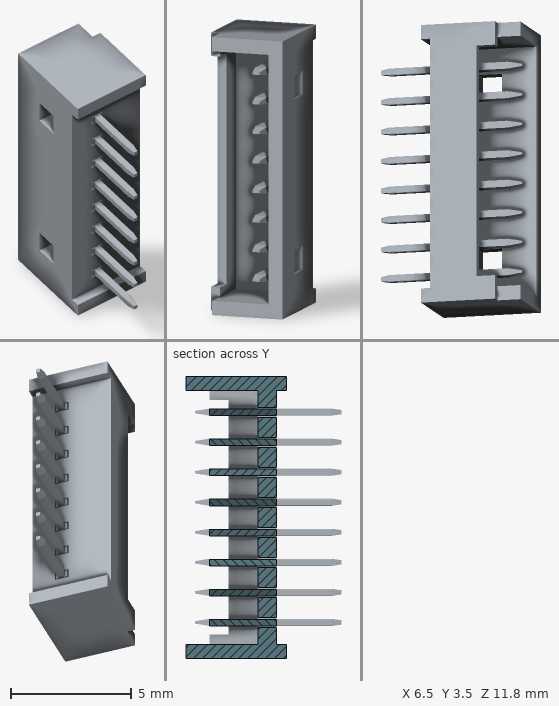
import cadquery as cq


LENGTH = 11.75
WIDTH = 3.5
DEPTH = 4.2
FOOT_HEIGHT = 0.4
END_WALL = 0.6
PLAIN_WALL = 0.62
OPEN_WALL = 0.4
CAVITY_DEPTH = 3.0

RIM_DROP = 1.0
NOTCH_DEPTH = 1.8
NOTCH_MARGIN = 1.0

WINDOW_SIZE = 1.0
WINDOW_START = 1.5
WINDOW_END_DISTANCE = 1.68

PIN_COUNT = 8
PIN_END_DISTANCE = 1.5
PIN_Y = 1.3
PIN_START = 0.4
PIN_END = 6.5
BLADE_TIP_LENGTH = 0.6
TAIL_TIP_LENGTH = 0.4
BLADE_WIDTH = 0.49
BLADE_THICKNESS = 0.29
BLADE_TIP_WIDTH = 0.3
BLADE_TIP_THICKNESS = 0.1
TAIL_SIDE = 0.29
TAIL_TIP_SIDE = 0.18
TAIL_CHAMFER = 0.02
PIN_CLEARANCE = 0.053

BACK_X = DEPTH - FOOT_HEIGHT
WINDOW_Z = LENGTH / 2 - WINDOW_END_DISTANCE - WINDOW_SIZE / 2
PIN_PITCH = (LENGTH - 2 * PIN_END_DISTANCE) / (PIN_COUNT - 1)
PIN_HEIGHTS = [(i - (PIN_COUNT - 1) / 2) * PIN_PITCH for i in range(PIN_COUNT)]


def block(x_start, x_end, y_start, y_end, height, z_middle=0):
    """Box between two X and two Y positions, centred in Z on z_middle."""
    box = cq.Workplane("XY").box(x_end - x_start, y_end - y_start, height, centered=(False, False, True))
    return box.translate((x_start, y_start, z_middle))


def section(x, width, thickness):
    """Rectangle across the pin axis at x: width along Y, thickness along Z."""
    return cq.Workplane("YZ", origin=(x, 0, 0)).rect(width, thickness)


def taper(x_start, start_size, x_end, end_size):
    """Straight-sided loft between two rectangles."""
    start = section(x_start, *start_size)
    return start.workplane(offset=x_end - x_start).rect(*end_size).loft(ruled=True)


def make_housing():
    """Open-fronted box with end feet, a cut-away wall, two windows and a row of pin holes."""
    inner_length = LENGTH - 2 * END_WALL
    cavity_top = WIDTH - OPEN_WALL
    body = block(0, DEPTH, 0, WIDTH, LENGTH)

    body = body.cut(block(BACK_X, DEPTH, 0, WIDTH, inner_length))
    body = body.cut(block(0, CAVITY_DEPTH, PLAIN_WALL, cavity_top, inner_length))

    body = body.cut(block(0, RIM_DROP, cavity_top, WIDTH, LENGTH))
    body = body.cut(block(0, NOTCH_DEPTH, cavity_top, WIDTH, LENGTH - 2 * NOTCH_MARGIN))

    for z in (-WINDOW_Z, WINDOW_Z):
        body = body.cut(block(WINDOW_START, WINDOW_START + WINDOW_SIZE, 0, PLAIN_WALL, WINDOW_SIZE, z))

    half_hole = BLADE_WIDTH / 2 + PIN_CLEARANCE
    hole_height = BLADE_THICKNESS + 2 * PIN_CLEARANCE
    for z in PIN_HEIGHTS:
        body = body.cut(block(CAVITY_DEPTH, BACK_X, PIN_Y - half_hole, PIN_Y + half_hole, hole_height, z))
    return body


def make_pin(z):
    """Flat tapered blade from the cavity to the back face, then a square tapered tail."""
    blade_size = (BLADE_WIDTH, BLADE_THICKNESS)
    blade_tip_size = (BLADE_TIP_WIDTH, BLADE_TIP_THICKNESS)
    tail_size = (TAIL_SIDE, TAIL_SIDE)
    tail_tip_size = (TAIL_TIP_SIDE, TAIL_TIP_SIDE)
    blade_start = PIN_START + BLADE_TIP_LENGTH
    tail_end = PIN_END - TAIL_TIP_LENGTH

    pin = taper(PIN_START, blade_tip_size, blade_start, blade_size)
    pin = pin.union(section(blade_start, *blade_size).extrude(BACK_X - blade_start))
    tail = section(BACK_X, *tail_size).extrude(tail_end - BACK_X).edges("|X").chamfer(TAIL_CHAMFER)
    pin = pin.union(tail)
    pin = pin.union(taper(tail_end, tail_size, PIN_END, tail_tip_size))
    return pin.translate((0, PIN_Y, z))


housing = make_housing()
pins = [make_pin(z) for z in PIN_HEIGHTS]

result = cq.Compound.makeCompound([housing.solids().val(), *[pin.solids().val() for pin in pins]])